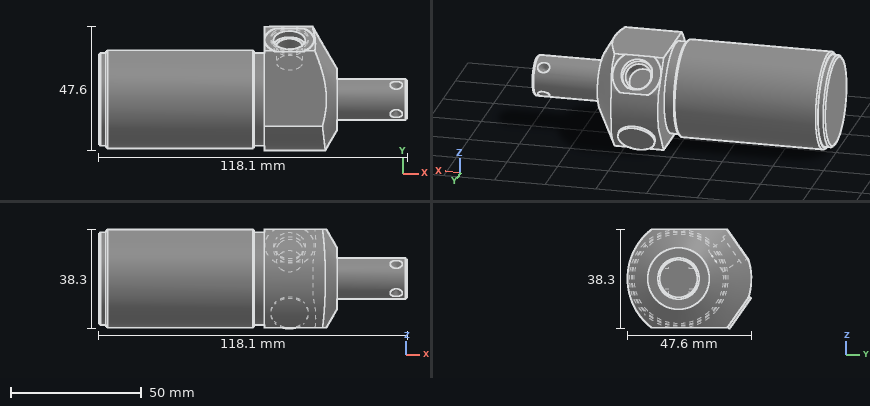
import cadquery as cq
import math

overall_length = 118.1
rear_step_end = 2.7
body_end = 59.7
head_start = 63.5
head_end = 91.3

body_radius = 18.9
neck_radius = 17.8
rod_radius = 7.9
edge_chamfer = 0.7

head_front_y = -19.6
head_back_y = 28.0
head_radius = (head_back_y - head_front_y) / 2
head_offset = (head_back_y + head_front_y) / 2
shoulder_fillet = 3.5
head_half_height = 18.9
slant_edge_y = 18.7
slant_angle = 35.0
nose_radius = 11.8
nose_angle = 60.0

port_x = 73.0
slant_center_y = 22.9
spotface_diameter = 18.9
spotface_depth = 0.2
counterbore_diameter = 12.2
counterbore_depth = 3.1
port_diameter = 9.9
port_depth = 10.6
plug_diameter = 14.4
plug_height = 1.0

dimple_x = 114.0
dimple_diameter = 4.7
dimple_depth = dimple_diameter / 2
dimple_count = 4
dimple_first_angle = 45.0

slant_tilt = math.radians(slant_angle)
slant_center_z = head_half_height - (slant_center_y - slant_edge_y) / math.tan(slant_tilt)


def round_bar(start, end, radius):
    return cq.Workplane("YZ", origin=(start, 0, 0)).circle(radius).extrude(end - start)


def slant_plane(side):
    """Plane on a slanted face, facing outward: side is 1 for upper, -1 for lower."""
    return cq.Plane(
        origin=(port_x, slant_center_y, side * slant_center_z),
        xDir=(1, 0, 0),
        normal=(0, math.cos(slant_tilt), side * math.sin(slant_tilt)),
    )


def make_head():
    length = head_end - head_start
    block_size = 4 * head_radius
    head = (
        cq.Workplane("YZ", origin=(head_start, 0, 0))
        .center(head_offset, 0)
        .circle(head_radius)
        .extrude(length)
    )
    flats = cq.Workplane("XY").box(4 * overall_length, block_size, 2 * head_half_height)
    head = head.intersect(flats)
    for side in (1, -1):
        outside = cq.Workplane(slant_plane(side)).rect(block_size, block_size).extrude(block_size)
        head = head.cut(outside)
    head = head.edges("|X").edges(">Y").fillet(shoulder_fillet)
    base_radius = nose_radius + length * math.tan(math.radians(nose_angle))
    nose_cone = cq.Workplane(
        cq.Solid.makeCone(
            base_radius, nose_radius, length, pnt=cq.Vector(head_start, 0, 0), dir=cq.Vector(1, 0, 0)
        )
    )
    return head.intersect(nose_cone)


def port_tool():
    tool = cq.Workplane(slant_plane(1)).circle(port_diameter / 2).extrude(-port_depth)
    for diameter, depth in (
        (spotface_diameter, spotface_depth),
        (counterbore_diameter, counterbore_depth),
    ):
        tool = tool.union(cq.Workplane(slant_plane(1)).circle(diameter / 2).extrude(-depth))
    return tool


def dimple_tool(angle):
    outward = cq.Vector(0, math.cos(math.radians(angle)), math.sin(math.radians(angle)))
    mouth = cq.Vector(dimple_x, 0, 0) + outward * rod_radius
    tip = mouth - outward * dimple_depth
    return cq.Workplane(
        cq.Solid.makeCone(0, dimple_diameter, 2 * dimple_depth, pnt=tip, dir=outward)
    )


rear_step = round_bar(0, head_start, neck_radius).faces("<X").chamfer(edge_chamfer)
body = round_bar(rear_step_end, body_end, body_radius).faces("<X or >X").edges().chamfer(edge_chamfer)
rod = round_bar(head_end, overall_length, rod_radius).faces(">X").chamfer(edge_chamfer)
plug = cq.Workplane(slant_plane(-1)).circle(plug_diameter / 2).extrude(plug_height)

result = rear_step.union(body).union(make_head()).union(rod).union(plug).cut(port_tool())
for index in range(dimple_count):
    result = result.cut(dimple_tool(dimple_first_angle + index * 360 / dimple_count))